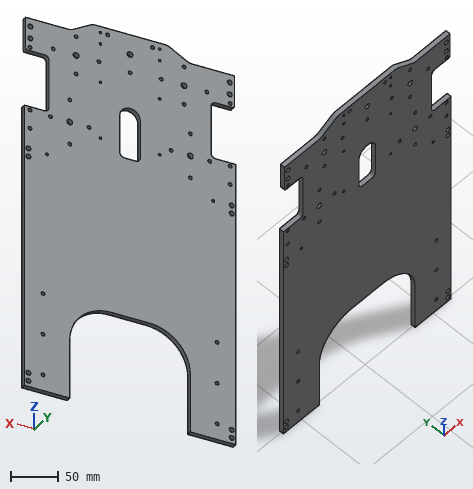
import cadquery as cq

height = 475.0
width = 255.0
thickness = 6.0

body_top = 350.0
neck_half = 98.0
arm_half = 126.0
arm_bottom = 420.0
arm_top = 460.5
crown_base_half = 71.2
crown_top_half = 45.0
crown_radius = 14.2
neck_radius = 5.0
arm_corner_radius = 2.5

arch_half = 72.5
arch_height = 121.5
arch_radius = 50.0

slot_width = 24.5
slot_bottom = 319.0
slot_top = 383.0
slot_corner_radius = 5.5

tiny_hole = 3.0
pin_hole = 3.5
screw_hole = 4.5
bolt_hole = 5.5
pivot_hole = 6.5

cross_long = 27.5
cross_short = 23.5
upper_pivot = (65.0, 430.5)
lower_pivot = (72.5, 345.0)

tiny_x = 35.5
tiny_heights = (335.5, 405.0, 453.0, 467.5)
arm_bolt_x = 120.0
arm_bolt_heights = (435.5, 450.5)
edge_screw_x = 120.5
edge_screw_heights = (323.0, 346.0, 424.0)
edge_bolt_x = 122.5
edge_bolt_heights = (7.0, 17.0, 287.5, 297.5)
leg_screw_x = 105.0
leg_screw_heights = (19.5, 70.5, 121.0)
pin_position = (100.0, 296.5)
crown_screw_position = (27.0, 467.0)

center_pivot_height = 450.5
center_screw_height = 427.5


def front_plane():
    """Sketch plane with local x = X, local y = Z, on the mid-plane of the plate."""
    return cq.Workplane("XZ")


def extrude_through(sketch):
    return sketch.extrude(thickness / 2, both=True)


def round_corners(body, corners, radius):
    """Fillet the thickness-direction edges at the given corners, on both sides."""
    for x, z in corners:
        for side in (-1, 1):
            body = body.edges(cq.selectors.NearestToPointSelector((side * x, 0, z))).fillet(radius)
    return body


def make_blank():
    right_side = [
        (width / 2, 0),
        (width / 2, body_top),
        (neck_half, body_top),
        (neck_half, arm_bottom),
        (arm_half, arm_bottom),
        (arm_half, arm_top),
        (crown_base_half, arm_top),
        (crown_top_half, height),
    ]
    left_side = [(-x, z) for x, z in reversed(right_side)]
    blank = extrude_through(front_plane().polyline(right_side + left_side).close())
    blank = round_corners(blank, [(neck_half, body_top), (neck_half, arm_bottom)], neck_radius)
    blank = round_corners(blank, [(arm_half, arm_bottom)], arm_corner_radius)
    return round_corners(blank, [(crown_base_half, arm_top), (crown_top_half, height)], crown_radius)


def make_arch():
    arch = extrude_through(front_plane().center(0, arch_height / 2).rect(2 * arch_half, arch_height))
    return round_corners(arch, [(arch_half, arch_height)], arch_radius)


def make_slot():
    half = slot_width / 2
    shoulder = slot_top - half
    outline = (
        front_plane()
        .moveTo(-half, slot_bottom)
        .lineTo(half, slot_bottom)
        .lineTo(half, shoulder)
        .threePointArc((0, slot_top), (-half, shoulder))
        .close()
    )
    return round_corners(extrude_through(outline), [(half, slot_bottom)], slot_corner_radius)


def make_holes(diameter, points):
    return extrude_through(front_plane().pushPoints(points).circle(diameter / 2))


def mirrored(points):
    return [(side * x, z) for x, z in points for side in (-1, 1)]


def column(x, heights):
    return [(x, z) for z in heights]


def cross(center, x_reach, z_reach):
    x, z = center
    return [(x - x_reach, z), (x + x_reach, z), (x, z - z_reach), (x, z + z_reach)]


screw_points = (
    cross(upper_pivot, cross_long, cross_short)
    + cross(lower_pivot, cross_short, cross_long)
    + column(edge_screw_x, edge_screw_heights)
    + column(leg_screw_x, leg_screw_heights)
    + [crown_screw_position]
)
bolt_points = column(arm_bolt_x, arm_bolt_heights) + column(edge_bolt_x, edge_bolt_heights)

result = make_blank().cut(make_arch()).cut(make_slot())
result = result.cut(make_holes(tiny_hole, mirrored(column(tiny_x, tiny_heights))))
result = result.cut(make_holes(pin_hole, mirrored([pin_position])))
result = result.cut(make_holes(screw_hole, mirrored(screw_points) + [(0, center_screw_height)]))
result = result.cut(make_holes(bolt_hole, mirrored(bolt_points)))
result = result.cut(make_holes(pivot_hole, mirrored([upper_pivot, lower_pivot]) + [(0, center_pivot_height)]))